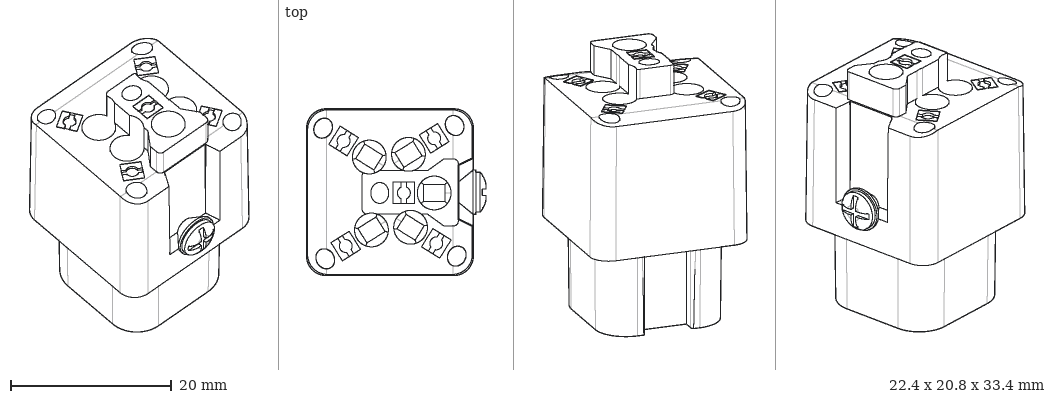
import cadquery as cq
import math

total_length = 22.38
total_height = 33.4
block_side = 20.8
draft = 0.5

block_bottom = 11.15
block_top = 29.53
block_corner = 2.47
slope_start_x = 7.88
slope_end_x = 10.35
slope_drop = 0.75
slope_ratio = slope_drop / (slope_end_x - slope_start_x)

plug_side = 16.63
plug_corner = 4.07
keyway_width = 6.2
keyway_depth = 2.0
keyway_lip = 0.55

tower_y = -0.05
tower_left = -3.47
tower_right = 8.52
tower_narrow_half = 2.7
tower_wide_half = 4.18
widen_start_x = 4.68
widen_end_x = 6.7
tower_left_corner = 0.67
tower_right_corner = 0.6

hole_radius = 2.1
hole_depth = 8.35
funnel_depth = 1.67
contact_length = 2.67
contact_width = 2.15
mark_offset = 3.77
mark_side = 2.67
mark_recess = 0.07
lock_radius = 0.8
lock_slit = 0.67
lock_depth = 0.4
access_offset = 6.78
access_length = 2.6
access_width = 2.25
access_depth = 5.0
center_hole_x = 5.5
center_hole_y = -0.1
near_hole_x = 2.57
near_hole_y = 4.38
far_hole_x = 2.3
far_hole_y = 4.7
row_angle = 32.0

screw_z = 16.2
screw_tip = total_length - block_side / 2
flange_radius = 2.77
flange_start = 10.35
flange_end = 10.7
head_radius = 2.5
dome_start = 11.22
dome_bulge = 0.1
tip_radius = 1.0
neck_radius = 1.35
neck_start = 7.28
screw_slot_width = 0.77
screw_slot_depth = 0.47
channel_back_x = 8.62
channel_inner_half = 3.35
channel_outer_half = 4.2


def make_block():
    height = block_top - block_bottom
    block = cq.Workplane("XY").workplane(offset=block_bottom).rect(block_side, block_side)
    block = block.extrude(height, taper=draft)
    block = block.edges("not(#Z or |X or |Y)").fillet(block_corner)
    reach = block_side
    low_z = block_top - slope_ratio * (reach - slope_start_x)
    for side in (-1, 1):
        wedge = (
            cq.Workplane("XZ")
            .polyline([
                (side * slope_start_x, block_top),
                (side * reach, low_z),
                (side * reach, block_top),
            ])
            .close()
            .extrude(block_side, both=True)
        )
        block = block.cut(wedge)
    return block


def make_plug():
    plug = cq.Workplane("XY").workplane(offset=block_bottom).rect(plug_side, plug_side)
    plug = plug.extrude(-block_bottom, taper=draft)
    plug = plug.edges("not(#Z or |X or |Y)").fillet(plug_corner)
    face_x = -plug_side / 2
    half = keyway_width / 2
    lip_x = face_x + keyway_lip
    floor_x = face_x + keyway_depth
    outside_x = face_x - keyway_lip
    mouth = half + keyway_lip
    bend = keyway_lip * (1 - math.sqrt(0.5))
    keyway = (
        cq.Workplane("XY")
        .moveTo(outside_x, -mouth)
        .lineTo(face_x, -mouth)
        .threePointArc((face_x + bend, -half - bend), (lip_x, -half))
        .lineTo(floor_x, -half)
        .lineTo(floor_x, half)
        .lineTo(lip_x, half)
        .threePointArc((face_x + bend, half + bend), (face_x, mouth))
        .lineTo(outside_x, mouth)
        .close()
        .extrude(block_bottom)
    )
    return plug.cut(keyway)


def make_tower():
    half_outline = [
        (tower_left, tower_narrow_half),
        (widen_start_x, tower_narrow_half),
        (widen_end_x, tower_wide_half),
        (tower_right, tower_wide_half),
    ]
    mirrored = [(x, -y) for x, y in reversed(half_outline)]
    tower = (
        cq.Workplane("XY", origin=(0, tower_y, block_top))
        .polyline(half_outline + mirrored)
        .close()
        .extrude(total_height - block_top)
    )
    tower = tower.edges("|Z and <X").fillet(tower_left_corner)
    return tower.edges("|Z and >X").fillet(tower_right_corner)


def make_station(x, y, angle, top_z):
    """Cutter for one contact row; the row runs from the contact hole towards local -X."""
    bore_floor = funnel_depth - hole_depth
    bore = cq.Workplane("XY").workplane(offset=bore_floor).circle(hole_radius)
    bore = bore.extrude(total_height - top_z - bore_floor)
    funnel = (
        cq.Workplane("XY")
        .workplane(offset=-hole_depth)
        .rect(contact_length, contact_width)
        .workplane(offset=funnel_depth)
        .circle(hole_radius)
        .loft()
    )
    mark = cq.Workplane("XY").center(-mark_offset, 0)
    frame = mark.rect(mark_side, mark_side).extrude(-mark_recess)
    lock = mark.circle(lock_radius).extrude(-lock_depth)
    slit = mark.rect(lock_slit, mark_side).extrude(-lock_depth)
    access = cq.Workplane("XY").center(-access_offset, 0)
    access = access.ellipse(access_width / 2, access_length / 2)
    access = access.extrude(-access_depth)
    station = bore.union(funnel).union(frame).union(lock).union(slit).union(access)
    return station.rotate((0, 0, 0), (0, 0, 1), angle).translate((x, y, top_z))


def make_channel():
    """Upright channel above the screw, flaring outwards, with a floor parallel to the top slope."""
    outer_x = block_side / 2
    floor_drop = slope_ratio * (outer_x - channel_back_x)
    channel = (
        cq.Workplane("XY", origin=(0, 0, screw_z - floor_drop))
        .polyline([
            (channel_back_x, -channel_inner_half),
            (outer_x, -channel_outer_half),
            (outer_x, channel_outer_half),
            (channel_back_x, channel_inner_half),
        ])
        .close()
        .extrude(block_top - screw_z + floor_drop, taper=-draft)
    )
    below_floor = (
        cq.Workplane("XZ")
        .polyline([
            (channel_back_x, screw_z),
            (outer_x, screw_z - floor_drop),
            (channel_back_x, screw_z - floor_drop),
        ])
        .close()
        .extrude(block_side / 2, both=True)
    )
    return channel.cut(below_floor)


def make_screw():
    dome_middle = (
        (dome_start + screw_tip) / 2 + dome_bulge,
        (head_radius + tip_radius) / 2 + dome_bulge,
    )
    screw = (
        cq.Workplane("XY")
        .moveTo(neck_start, 0)
        .lineTo(neck_start, neck_radius)
        .lineTo(channel_back_x, neck_radius)
        .lineTo(flange_start, flange_radius)
        .lineTo(flange_end, flange_radius)
        .lineTo(flange_end, head_radius)
        .lineTo(dome_start, head_radius)
        .threePointArc(dome_middle, (screw_tip, tip_radius))
        .lineTo(screw_tip, 0)
        .close()
        .revolve(360, (0, 0, 0), (1, 0, 0))
    )
    for width_y, width_z in (
        (screw_slot_width, 2 * head_radius),
        (2 * head_radius, screw_slot_width),
    ):
        slot = cq.Workplane("XY").box(2 * screw_slot_depth, width_y, width_z)
        screw = screw.cut(slot.translate((screw_tip, 0, 0)))
    return screw.translate((0, 0, screw_z))


result = make_block().union(make_plug()).union(make_tower())
result = result.cut(make_station(center_hole_x, center_hole_y, 0, total_height))
for x, y, angle in (
    (-near_hole_x, near_hole_y, -row_angle),
    (far_hole_x, far_hole_y, 180 + row_angle),
):
    result = result.cut(make_station(x, y, angle, block_top))
    result = result.cut(make_station(-x, -y, angle + 180, block_top))
result = result.cut(make_channel()).union(make_screw())